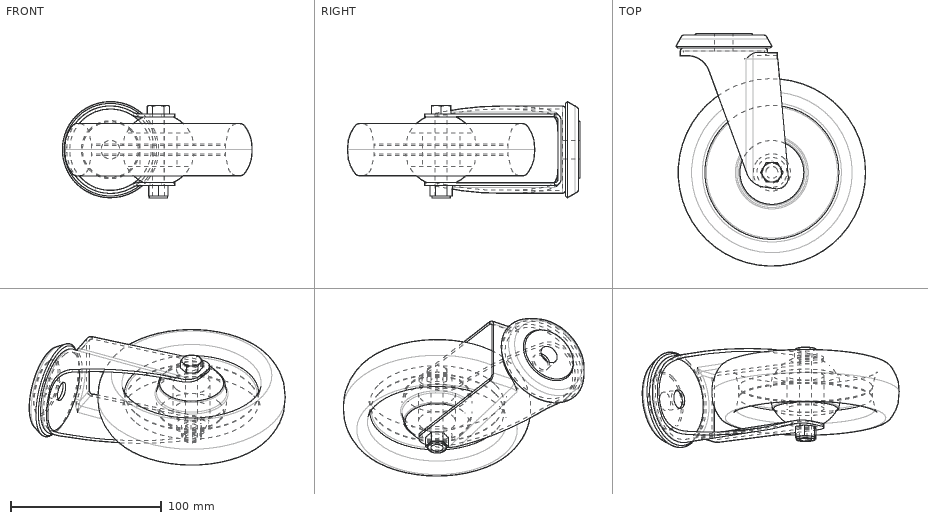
import cadquery as cq
import math


wheel_radius = 62.5
swivel_offset = 32.0
mount_height = 92.5
mount_bolt_radius = 6.2
axle_radius = 4.0

head_radius = 32.1
head_pad_radius = 18.6
head_pad_height = 1.0
head_pad_chamfer = 0.8
head_crown_radius = 26.2
head_shoulder_radius = 29.3
head_shoulder_drop = 3.5
head_rim_drop = 8.5
head_rim_chamfer = 1.2

sheet = 2.0
fork_top = mount_height - head_rim_drop - head_rim_chamfer
fork_radius = 29.1
fork_half_width = 23.9
ear_drop = 3.0
ear_bend_radius = 4.2
step_round = 2.5
ear_blend_radius = 9.3
ear_reach = 3.7
form_margin = 31.0
skirt_depth = 5.1

leg_back_slope = 0.37
leg_front_slope = 0.088
leg_foot_slope = -0.15
leg_back_at_axle = -16.9
leg_front_at_axle = 10.7
leg_foot_at_axle = -10.5
skirt_sweep_radius = 15.0
foot_back_radius = 14.0
foot_front_radius = 7.8

tyre_half_width = 17.5
tyre_crest_radius = 53.5
tyre_lip_radius = 46.3
tyre_lip_height = 11.5

core_radius = 44.6
web_half_thickness = 2.8
core_fillet = 1.0
boss_base_radius = 23.4
boss_top_radius = 22.2
boss_half_height = 11.2
boss_edge_round = 0.6
core_bore_radius = 12.4

dome_radius = 24.0
hub_half_length = fork_half_width - sheet

hex_across_flats = 13.0
hex_corner_chamfer = 0.6
bolt_head_height = 5.6
nut_height = 7.1
nut_collar_height = 1.2
nut_collar_radius = 6.2


def cylinder_z(radius, z_low, z_high):
    return cq.Workplane("XY").workplane(offset=z_low).circle(radius).extrude(z_high - z_low)


def cylinder_on_swivel(radius, y_low, y_high):
    plane = cq.Plane(origin=(-swivel_offset, y_low, 0), xDir=(1, 0, 0), normal=(0, 1, 0))
    return cq.Workplane(plane).circle(radius).extrude(y_high - y_low)


def revolve_about_z(profile):
    return profile.close().revolve(360, (0, 0, 0), (0, 1, 0))


def make_head():
    """Turned head with a raised pad on top, a rounded shoulder and a conical edge."""
    face = mount_height - head_pad_height
    rim = mount_height - head_rim_drop
    shoulder = mount_height - head_shoulder_drop
    cone_run = (head_shoulder_radius - head_radius, shoulder - rim)
    outline = (
        cq.Workplane("XY", origin=(-swivel_offset, 0, 0))
        .moveTo(0, fork_top)
        .lineTo(head_radius - head_rim_chamfer, fork_top)
        .lineTo(head_radius, rim)
        .lineTo(head_shoulder_radius, shoulder)
        .spline([(head_crown_radius, face)], tangents=[cone_run, (-1, 0)], includeCurrent=True)
        .lineTo(head_pad_radius + head_pad_chamfer, face)
        .lineTo(head_pad_radius, mount_height)
        .lineTo(0, mount_height)
        .close()
    )
    head = outline.revolve(360, (0, 0, 0), (0, 1, 0))
    return head.cut(cylinder_on_swivel(mount_bolt_radius, fork_top, mount_height))


def fork_form(inset):
    """Solid swivel cup blended into a straight-sided block, with every face moved in by inset."""
    y_low = -form_margin
    x_end = swivel_offset + form_margin
    radius = fork_radius - inset
    half_width = fork_half_width - inset
    blend = ear_blend_radius + inset
    top = fork_top - inset
    ear_top = fork_top - ear_drop - inset

    reach = radius + blend
    blend_z = half_width + blend
    blend_x = math.sqrt(reach**2 - blend_z**2)
    join_x = blend_x * radius / reach
    join_z = blend_z * radius / reach
    half_turn = 0.5 * math.asin(blend_x / reach)
    mid_x = blend_x - blend * math.sin(half_turn)
    mid_z = blend_z - blend * math.cos(half_turn)

    plane = cq.Plane(origin=(-swivel_offset, y_low, 0), xDir=(1, 0, 0), normal=(0, 1, 0))
    block = (
        cq.Workplane(plane)
        .moveTo(join_x, join_z)
        .threePointArc((-radius, 0), (join_x, -join_z))
        .threePointArc((mid_x, -mid_z), (blend_x, -half_width))
        .lineTo(x_end, -half_width)
        .lineTo(x_end, half_width)
        .lineTo(blend_x, half_width)
        .threePointArc((mid_x, mid_z), (join_x, join_z))
        .close()
        .extrude(ear_top - y_low)
    )
    block = block.faces(">Y").edges("not >X").fillet(ear_bend_radius - inset)

    return block.union(cylinder_on_swivel(radius, y_low, top))


def fork_cavity():
    """Hollow of the fork, with a round where its cup steps down to the lip between the ears."""
    cavity = fork_form(sheet)
    step_y = fork_top - ear_drop - sheet
    step_x = fork_radius - sheet - swivel_offset
    step_arcs = [
        cavity.edges(cq.selectors.NearestToPointSelector((step_x, step_y, z))).val()
        for z in (-fork_half_width / 2, fork_half_width / 2)
    ]
    return cavity.newObject(step_arcs).fillet(step_round)


def fork_outline():
    """Side outline of the fork, as a prism across its full width."""
    back_x = -swivel_offset - fork_radius
    skirt = fork_top - skirt_depth
    ear_bend_start = fork_top - ear_drop - ear_bend_radius

    def back_edge(y):
        return leg_back_at_axle - leg_back_slope * y

    def front_edge(y):
        return leg_front_at_axle - leg_front_slope * y

    def foot_corner_height(edge_at_axle, edge_slope):
        """Y where the foot line crosses an edge of the leg."""
        return (leg_foot_at_axle + leg_foot_slope * edge_at_axle) / (1 + leg_foot_slope * edge_slope)

    foot_back_y = foot_corner_height(leg_back_at_axle, leg_back_slope)
    foot_front_y = foot_corner_height(leg_front_at_axle, leg_front_slope)
    foot_back = (back_edge(foot_back_y), foot_back_y)
    foot_front = (front_edge(foot_front_y), foot_front_y)
    skirt_corner = (back_edge(skirt), skirt)

    prism = (
        cq.Workplane("XY")
        .workplane(offset=-fork_radius)
        .polyline([
            (back_x, fork_top),
            (back_x, skirt),
            skirt_corner,
            foot_back,
            foot_front,
            (front_edge(ear_bend_start), ear_bend_start),
            (ear_reach, ear_bend_start),
            (ear_reach, fork_top),
        ])
        .close()
        .extrude(2 * fork_radius)
    )
    for corner, radius in (
        (skirt_corner, skirt_sweep_radius),
        (foot_back, foot_back_radius),
        (foot_front, foot_front_radius),
    ):
        prism = prism.edges(cq.selectors.NearestToPointSelector((*corner, 0))).fillet(radius)
    return prism


def make_fork():
    outside = fork_form(0).faces(">Y").edges().fillet(sheet)
    fork = outside.cut(fork_cavity()).intersect(fork_outline())
    fork = fork.cut(cylinder_on_swivel(mount_bolt_radius, 0, fork_top))
    return fork.cut(cylinder_z(axle_radius, -fork_half_width, fork_half_width))


def make_tyre():
    seat = web_half_thickness + core_fillet
    tread_width = wheel_radius - tyre_crest_radius
    half_profile = (
        cq.Workplane("XZ")
        .moveTo(core_radius, 0)
        .lineTo(wheel_radius, 0)
        .spline(
            [
                (
                    tyre_crest_radius + tread_width * math.cos(angle),
                    tyre_half_width * math.sin(angle),
                )
                for angle in (math.pi / 6, math.pi / 3, math.pi / 2)
            ],
            tangents=[(0, 1), (-1, 0)],
            includeCurrent=True,
        )
        .tangentArcPoint((tyre_lip_radius, tyre_lip_height), relative=False)
        .lineTo(core_radius, seat)
    )
    half = revolve_about_z(half_profile)
    return half.union(half.mirror("XY"))


def make_core():
    wall_foot = web_half_thickness + core_fillet
    half_profile = (
        cq.Workplane("XZ")
        .moveTo(core_bore_radius, 0)
        .lineTo(core_radius, 0)
        .lineTo(core_radius, wall_foot)
        .radiusArc((core_radius - core_fillet, web_half_thickness), core_fillet)
        .lineTo(boss_base_radius + core_fillet, web_half_thickness)
        .radiusArc((boss_base_radius, wall_foot), core_fillet)
        .lineTo(boss_top_radius, boss_half_height - boss_edge_round)
        .radiusArc((boss_top_radius - boss_edge_round, boss_half_height), -boss_edge_round)
        .lineTo(core_bore_radius, boss_half_height)
    )
    half = revolve_about_z(half_profile)
    return half.union(half.mirror("XY"))


def make_hub():
    """Bush through the core, its ends widened into domes that rest on the boss."""
    ball = cq.Workplane("XY").sphere(dome_radius)
    hub = cylinder_z(core_bore_radius, -boss_half_height, boss_half_height)
    for low, high in ((boss_half_height, hub_half_length), (-hub_half_length, -boss_half_height)):
        hub = hub.union(ball.intersect(cylinder_z(dome_radius, low, high)))
    return hub.cut(cylinder_z(axle_radius, -hub_half_length, hub_half_length))


hex_across_corners = hex_across_flats / math.cos(math.pi / 6)
nut_end = -fork_half_width - nut_height - nut_collar_height


def make_bolt():
    """Hexagon bolt whose head lies on the +Z ear, with its corners bevelled at the top."""
    head = (
        cq.Workplane("XY")
        .workplane(offset=fork_half_width)
        .polygon(6, hex_across_corners)
        .extrude(bolt_head_height)
    )
    bevel = (
        cylinder_z(hex_across_corners / 2, fork_half_width, fork_half_width + bolt_head_height)
        .faces(">Z")
        .chamfer(hex_corner_chamfer, (hex_across_corners - hex_across_flats) / 2)
    )
    return head.intersect(bevel).union(cylinder_z(axle_radius, nut_end, fork_half_width))


def make_nut():
    """Lock nut under the -Z ear, turned so that two of its corners lie along Y."""
    nut = (
        cq.Workplane("XY")
        .workplane(offset=-fork_half_width - nut_height)
        .transformed(rotate=(0, 0, 90))
        .polygon(6, hex_across_corners)
        .extrude(nut_height)
    )
    nut = nut.union(cylinder_z(nut_collar_radius, nut_end, -fork_half_width - nut_height))
    return nut.cut(cylinder_z(axle_radius, nut_end, -fork_half_width))


head = make_head()
fork = make_fork()
tyre = make_tyre()
core = make_core()
hub = make_hub()
bolt = make_bolt()
nut = make_nut()

result = cq.Compound.makeCompound(
    [head.val(), fork.val(), tyre.val(), core.val(), hub.val(), bolt.val(), nut.val()]
)